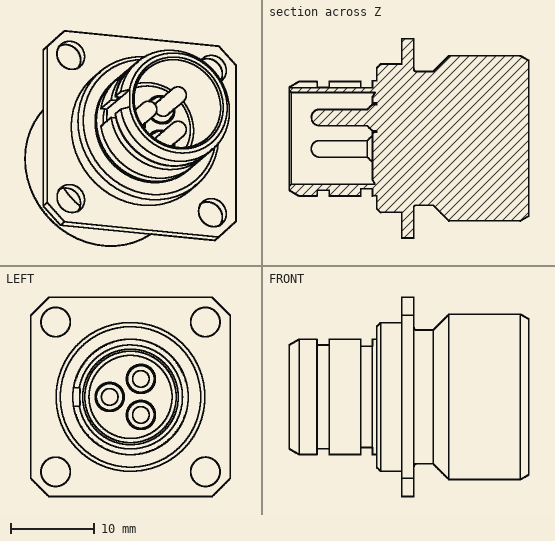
import cadquery as cq
import math


overall_length = 28.8
front_groove_start = 3.4
front_groove_end = 4.8
neck_start = 8.6
ring_start = 10.0
collar_start = 10.5
plate_start = 13.5
plate_thickness = 1.5
plate_end = plate_start + plate_thickness
cone_start = 17.3

shell_radius = 6.95
front_groove_radius = 6.25
neck_radius = 6.1
collar_radius = 8.95
waist_radius = 8.05
rear_radius = 9.95

bevel_slope = math.tan(math.radians(30))
nose_bevel_length = 1.2
nose_radius = shell_radius - nose_bevel_length * bevel_slope
rear_bevel_length = 1.0
rear_end_radius = rear_radius - rear_bevel_length * bevel_slope
collar_chamfer = 0.5
groove_chamfer = 0.1
waist_fillet = 0.3
cone_end = cone_start + rear_radius - waist_radius

plate_size = 24.0
plate_corner_chamfer = 2.2
hole_spacing = 18.0
hole_diameter = 3.5

bore_radius = 5.5
bore_chamfer = 0.25
insert_face = 10.0
insert_chamfer_width = 0.5
insert_chamfer_depth = insert_chamfer_width * bevel_slope

keyway_width = 2.2
keyway_floor = neck_radius

pin_count = 3
pin_circle_radius = 2.5
pin_radius = 1.0
pin_tip = 2.65
shoulder_radius = 1.6
shoulder_height = shoulder_radius - pin_radius
recess_radius = 1.75
recess_depth = 0.5


def revolve_about_x(profile):
    """Revolve a closed (x, radius) profile a full turn about the X axis."""
    return profile.close().revolve(360, (0, 0, 0), (1, 0, 0))


def make_shell():
    """Outer body of revolution, solid to the axis."""
    profile = (
        cq.Workplane("XY")
        .moveTo(0, 0)
        .lineTo(0, nose_radius)
        .lineTo(nose_bevel_length, shell_radius)
        .lineTo(front_groove_start - groove_chamfer, shell_radius)
        .lineTo(front_groove_start, shell_radius - groove_chamfer)
        .lineTo(front_groove_start, front_groove_radius)
        .lineTo(front_groove_end, front_groove_radius)
        .lineTo(front_groove_end, shell_radius)
        .lineTo(neck_start, shell_radius)
        .lineTo(neck_start, neck_radius)
        .lineTo(ring_start, neck_radius)
        .lineTo(ring_start, shell_radius)
        .lineTo(collar_start, shell_radius)
        .lineTo(collar_start, collar_radius - collar_chamfer)
        .lineTo(collar_start + collar_chamfer, collar_radius)
        .lineTo(plate_end, collar_radius)
        .lineTo(plate_end, waist_radius + waist_fillet)
        .radiusArc((plate_end + waist_fillet, waist_radius), -waist_fillet)
        .lineTo(cone_start, waist_radius)
        .lineTo(cone_end, rear_radius)
        .lineTo(overall_length - rear_bevel_length, rear_radius)
        .lineTo(overall_length, rear_end_radius)
        .lineTo(overall_length, 0)
    )
    return revolve_about_x(profile)


def make_plate():
    """Square flange with cut corners and four mounting holes."""
    return (
        cq.Workplane("YZ", origin=(plate_start, 0, 0))
        .rect(plate_size, plate_size)
        .extrude(plate_thickness)
        .edges("|X")
        .chamfer(plate_corner_chamfer)
        .faces("<X")
        .workplane()
        .rect(hole_spacing, hole_spacing, forConstruction=True)
        .vertices()
        .hole(hole_diameter)
    )


def make_bore():
    """Cavity of the mating end, leaving the chamfered insert at its bottom."""
    profile = (
        cq.Workplane("XY")
        .moveTo(0, 0)
        .lineTo(0, bore_radius + bore_chamfer)
        .lineTo(bore_chamfer, bore_radius)
        .lineTo(insert_face + insert_chamfer_depth, bore_radius)
        .lineTo(insert_face, bore_radius - insert_chamfer_width)
        .lineTo(insert_face, 0)
    )
    return revolve_about_x(profile)


def make_keyway():
    """Slot from the nose to the ring, cut down to the neck radius."""
    keyway_depth = shell_radius - keyway_floor
    return cq.Workplane("XY").box(
        ring_start, keyway_depth, keyway_width, centered=(False, False, True)
    ).translate((0, keyway_floor, 0))


def make_recess():
    """Round recess in the insert face around one pin, on the axis."""
    return cq.Workplane("YZ", origin=(insert_face, 0, 0)).circle(recess_radius).extrude(recess_depth)


def make_pin():
    """One contact pin on the axis, standing on the floor of its recess."""
    tip_reach = pin_radius * math.sqrt(0.5)
    recess_floor = insert_face + recess_depth
    profile = (
        cq.Workplane("XY")
        .moveTo(pin_tip, 0)
        .threePointArc(
            (pin_tip + pin_radius - tip_reach, tip_reach),
            (pin_tip + pin_radius, pin_radius),
        )
        .lineTo(insert_face - shoulder_height, pin_radius)
        .lineTo(insert_face, shoulder_radius)
        .lineTo(recess_floor, shoulder_radius)
        .lineTo(recess_floor, 0)
    )
    return revolve_about_x(profile)


def at_pin_position(shape, index):
    """Move a shape from the axis to a pin position; the first lies toward +Y."""
    angle = 360 / pin_count * index
    return shape.translate((0, pin_circle_radius, 0)).rotate((0, 0, 0), (1, 0, 0), angle)


result = make_shell().union(make_plate()).cut(make_bore()).cut(make_keyway())
for pin_index in range(pin_count):
    result = result.cut(at_pin_position(make_recess(), pin_index))
    result = result.union(at_pin_position(make_pin(), pin_index))